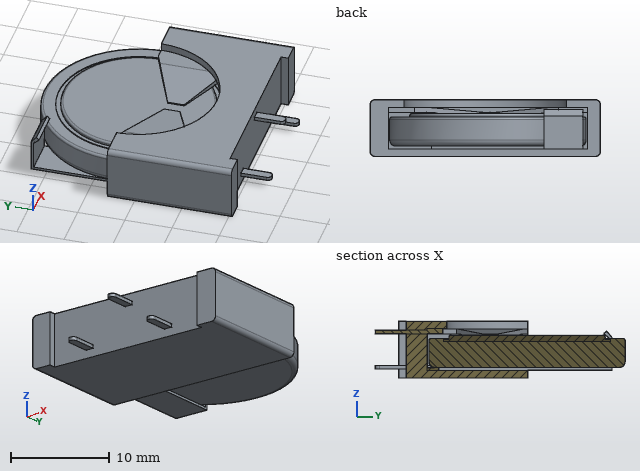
import cadquery as cq


OVERALL_LENGTH = 25.45

HOUSING_WIDTH = 23.43
HOUSING_HEIGHT = 5.8
HOUSING_DEPTH = 13.13
CORNER_RADIUS = 0.5
NOTCH_DEPTH = 0.76
LEFT_FOOT_WIDTH = 2.25
RIGHT_FOOT_WIDTH = 2.4
OPENING_RADIUS = 8.25
FLOOR_HEIGHT = 0.8
CEILING_HEIGHT = HOUSING_HEIGHT - FLOOR_HEIGHT
REAR_FACE_Y = NOTCH_DEPTH - HOUSING_DEPTH

CELL_X = -0.28
CELL_Y = -0.08
CAN_RADIUS = 10.0
CAN_TOP_Z = 4.05
CAN_TOP_FILLET = 0.25
CAN_BOTTOM_FILLET = 0.6
FLANGE_RADIUS = 8.47
FLANGE_RECESS = 0.3
GROOVE_DEPTH = 0.08
CROWN_RADIUS = 7.95
CROWN_HEIGHT = 0.4
CROWN_FILLET = 0.23
RECESS_FLOOR_Z = CAN_TOP_Z - FLANGE_RECESS
FLANGE_TOP_Z = CAN_TOP_Z - GROOVE_DEPTH
CAP_TOP_Z = FLANGE_TOP_Z + CROWN_HEIGHT

CELL_CLEARANCE = 0.13
CAVITY_HALF_WIDTH = CAN_RADIUS + CELL_CLEARANCE
CAVITY_LEFT_X = CELL_X - CAVITY_HALF_WIDTH
CAVITY_RIGHT_X = CELL_X + CAVITY_HALF_WIDTH
CAVITY_BACK_Y = CELL_Y - CAVITY_HALF_WIDTH

PIN_WIDTH = 0.92
PIN_THICKNESS = 0.38
PIN_TIP_Y = CELL_Y + CAN_RADIUS - OVERALL_LENGTH
PIN_TIP_RADIUS = 0.43
PIN_ROOT_OVERLAP = 0.76
PIN_ROOT_Y = CAVITY_BACK_Y + PIN_ROOT_OVERLAP
PIN_OFFSET = 5.0
LOWER_PIN_Z = 0.92

UPPER_PLATE_THICKNESS = 0.5
UPPER_PLATE_Z = CEILING_HEIGHT - UPPER_PLATE_THICKNESS
LEFT_BEND_X = -6.77
RIGHT_BEND_X = 5.95
WINDOW_BACK_Y = -8.65
FINGER_TIP_THICKNESS = 0.13
FINGER_TIP_Z = CAP_TOP_Z + FINGER_TIP_THICKNESS
LEFT_FINGER = [(-7.43, 0), (-1.07, -2.98), (-1.07, -4.65), (LEFT_BEND_X, -7.25)]
RIGHT_FINGER = [(7.17, 0), (0.2, -2.98), (0.2, -4.73), (RIGHT_BEND_X, -7.35)]

STRIP_LEFT_X = -9.92
STRIP_WIDTH = 3.97
STRIP_THICKNESS = 0.28
STRIP_TOP_Z = FLOOR_HEIGHT + STRIP_THICKNESS
TAB_Y = 8.57
TAB_BEND_Z = 4.15
TAB_INNER_BEND_Z = 4.02
LIP_PEAK = (8.01, 4.78)
LIP_INNER_CORNER = (7.73, 4.53)
CROSSBAR_DEPTH = 1.15


def block(x_min, x_max, y_min, y_max, z_min, z_max):
    size = (x_max - x_min, y_max - y_min, z_max - z_min)
    return cq.Workplane("XY").box(*size, centered=False).translate((x_min, y_min, z_min))


def disc(radius, height, x, y, z):
    return cq.Workplane("XY").circle(radius).extrude(height).translate((x, y, z))


def make_pin(x, z):
    half = PIN_WIDTH / 2
    pin = block(x - half, x + half, PIN_TIP_Y, PIN_ROOT_Y, z, z + PIN_THICKNESS)
    return pin.edges("|Z and <Y").fillet(PIN_TIP_RADIUS)


def make_cap():
    crown = disc(CROWN_RADIUS, CROWN_HEIGHT, CELL_X, CELL_Y, FLANGE_TOP_Z)
    crown = crown.faces(">Z").edges().fillet(CROWN_FILLET)
    flange = disc(FLANGE_RADIUS, FLANGE_TOP_Z - RECESS_FLOOR_Z, CELL_X, CELL_Y, RECESS_FLOOR_Z)
    return flange.union(crown)


def make_can():
    can = disc(CAN_RADIUS, CAN_TOP_Z - STRIP_TOP_Z, CELL_X, CELL_Y, STRIP_TOP_Z)
    can = can.faces(">Z").edges().fillet(CAN_TOP_FILLET)
    can = can.faces("<Z").edges().fillet(CAN_BOTTOM_FILLET)
    recess = disc(FLANGE_RADIUS, FLANGE_RECESS, CELL_X, CELL_Y, RECESS_FLOOR_Z)
    return can.cut(recess)


def make_finger(outline, bend_x, side_x):
    """Finger and its flat shoulder; the sloping underside is flattened where it rests on the cap."""
    tip_x = outline[1][0]
    drop = CEILING_HEIGHT - FINGER_TIP_Z
    contact_x = tip_x + (bend_x - tip_x) * (CAP_TOP_Z + UPPER_PLATE_THICKNESS - FINGER_TIP_Z) / drop
    profile = [
        (side_x, CEILING_HEIGHT),
        (bend_x, CEILING_HEIGHT),
        (tip_x, FINGER_TIP_Z),
        (tip_x, CAP_TOP_Z),
        (contact_x, CAP_TOP_Z),
        (bend_x, UPPER_PLATE_Z),
        (side_x, UPPER_PLATE_Z),
    ]
    sheet = cq.Workplane("XZ").polyline(profile).close().extrude(-WINDOW_BACK_Y)
    rear_root = outline[-1]
    shoulder = [(side_x, rear_root[1]), (side_x, 0)]
    plan = cq.Workplane("XY").polyline(outline + shoulder).close().extrude(HOUSING_HEIGHT)
    return sheet.intersect(plan)


def make_upper_contact():
    contact = block(
        CAVITY_LEFT_X, CAVITY_RIGHT_X,
        CAVITY_BACK_Y, WINDOW_BACK_Y,
        UPPER_PLATE_Z, CEILING_HEIGHT,
    )
    sides = [
        (LEFT_FINGER, LEFT_BEND_X, CAVITY_LEFT_X),
        (RIGHT_FINGER, RIGHT_BEND_X, CAVITY_RIGHT_X),
    ]
    for outline, bend_x, side_x in sides:
        arm_min_x = min(bend_x, side_x)
        arm_max_x = max(bend_x, side_x)
        rear_y = outline[-1][1]
        arm = block(arm_min_x, arm_max_x, WINDOW_BACK_Y, rear_y, UPPER_PLATE_Z, CEILING_HEIGHT)
        contact = contact.union(arm).union(make_finger(outline, bend_x, side_x))
    return contact.union(make_pin(0, UPPER_PLATE_Z))


def make_lower_contact():
    tab_inner_y = TAB_Y - STRIP_THICKNESS
    profile = [
        (CAVITY_BACK_Y, FLOOR_HEIGHT),
        (TAB_Y, FLOOR_HEIGHT),
        (TAB_Y, TAB_BEND_Z),
        LIP_PEAK,
        LIP_INNER_CORNER,
        (tab_inner_y, TAB_INNER_BEND_Z),
        (tab_inner_y, STRIP_TOP_Z),
        (CAVITY_BACK_Y, STRIP_TOP_Z),
    ]
    strip = cq.Workplane("YZ").polyline(profile).close().extrude(STRIP_WIDTH)
    strip = strip.translate((STRIP_LEFT_X, 0, 0))
    crossbar = block(
        STRIP_LEFT_X, PIN_OFFSET + PIN_WIDTH / 2,
        CAVITY_BACK_Y, CAVITY_BACK_Y + CROSSBAR_DEPTH,
        FLOOR_HEIGHT, STRIP_TOP_Z,
    )
    contact = strip.union(crossbar)
    for pin_x in (-PIN_OFFSET, PIN_OFFSET):
        contact = contact.union(make_pin(pin_x, LOWER_PIN_Z))
    return contact


def make_housing(contacts):
    half = HOUSING_WIDTH / 2
    housing = block(-half, half, -HOUSING_DEPTH, 0, 0, HOUSING_HEIGHT)
    housing = housing.edges("|Y").fillet(CORNER_RADIUS)
    notch = block(
        LEFT_FOOT_WIDTH - half, half - RIGHT_FOOT_WIDTH,
        -HOUSING_DEPTH, REAR_FACE_Y,
        0, HOUSING_HEIGHT,
    )
    cavity = block(CAVITY_LEFT_X, CAVITY_RIGHT_X, CAVITY_BACK_Y, 0, FLOOR_HEIGHT, CEILING_HEIGHT)
    opening = disc(OPENING_RADIUS, HOUSING_HEIGHT - CEILING_HEIGHT, 0, 0, CEILING_HEIGHT)
    housing = housing.cut(notch).cut(cavity).cut(opening)
    for contact in contacts:
        housing = housing.cut(contact)
    return housing


can = make_can()
cap = make_cap()
upper_contact = make_upper_contact()
lower_contact = make_lower_contact()
housing = make_housing([upper_contact, lower_contact])

bodies = [housing, can, cap, upper_contact, lower_contact]
result = cq.Compound.makeCompound([body.solids().val() for body in bodies])